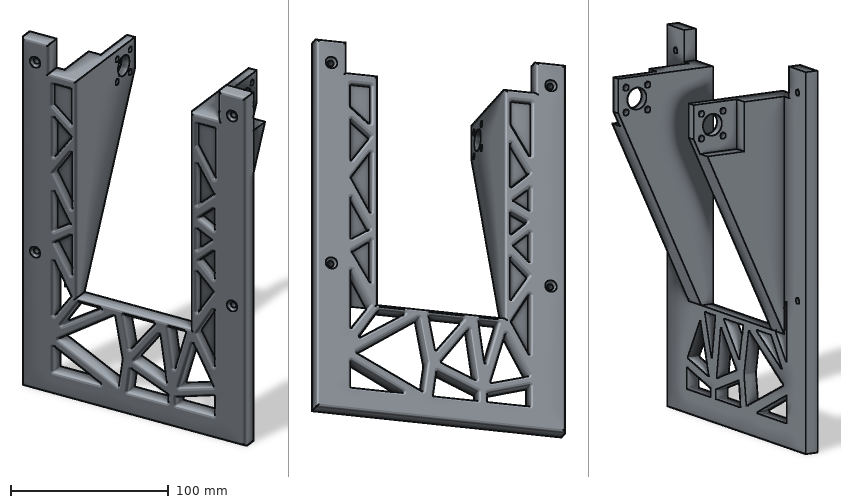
import cadquery as cq
frame_width = 165.5
frame_height = 248.0
total_depth = 72.0
plate_thickness = 10.0
edge_radius = 2.0

window_half_width = frame_width / 2 - 40.7
window_floor = 73.2
tower_width = 20.0
step_drop = 20.5
step_height = frame_height - step_drop

bracket_thickness = 15.0
bracket_back_height = 22.3
mount_recess_size = 32.2
mount_wall = 6.0
motor_bore_diameter = 14.1
motor_axis_inset = 14.0
motor_axis_drop = 14.5
motor_screw_spacing = 16.0
screw_diameter = 4.0

plate_screw_inset = 10.0
plate_screw_drops = (15.1, 150.3)
countersink_diameter = 7.7

pocket_rim_radius = 2.0
shallow_rim_radius = 2.5
wall_corner_radius = 0.5
blind_depth = 6.0
shallow_depth = 2.7

pocket_top = 222.5
rail_top = 71.7
pocket_bottom = 13.6
left_side = -61.8
right_side = 61.3
inner_side = 44.1
shallow_side = 62.2

shallow_pockets = [
    [(-shallow_side, pocket_top), (-inner_side, pocket_top), (-inner_side, 189.2), (-shallow_side, 204.0)],
    [(shallow_side, pocket_top), (inner_side, pocket_top), (inner_side, 203.9), (shallow_side, 174.5)],
]

blind_pockets = [
    [(left_side, 201.5), (-43.6, 186.5), (left_side, 161.7)],
    [(-inner_side, 182.5), (-62.0, 157.2), (-inner_side, 126.2)],
    [(left_side, 152.5), (-44.5, 123.0), (left_side, 111.8)],
    [(-inner_side, 120.5), (-61.8, 108.1), (-inner_side, 79.5)],
    [(inner_side, 199.6), (61.5, 172.5), (inner_side, 157.0)],
    [(right_side, 167.6), (44.1, 152.8), (right_side, 144.0)],
    [(inner_side, 148.5), (61.0, 140.5), (inner_side, 125.2)],
    [(right_side, 137.6), (45.0, 123.0), (right_side, 107.6)],
    [(inner_side, 120.0), (61.0, 104.0), (inner_side, 78.0)],
    [(right_side, 99.2), (44.5, 71.2), (right_side, 41.7)],
]

through_pockets = [
    [(left_side, 103.7), (-44.5, 72.5), (left_side, 48.5)],
    [(-42.2, rail_top), (-62.2, 42.0), (-16.0, rail_top)],
    [(-60.3, 39.5), (-13.1, 71.0), (-7.0, 38.0), (-10.2, 15.0)],
    [(left_side, 37.2), (-15.0, pocket_bottom), (left_side, pocket_bottom)],
    [(-10.5, rail_top), (-4.5, 41.5), (19.5, rail_top)],
    [(-3.2, 38.2), (20.0, 68.7), (26.3, 26.0)],
    [(-4.2, 35.7), (26.8, 23.0), (26.8, pocket_bottom), (-7.2, pocket_bottom)],
    [(22.8, rail_top), (28.8, 30.0), (40.7, rail_top)],
    [(30.0, 25.5), (42.7, 68.7), (61.5, 34.7)],
    [(29.0, 22.8), (right_side, 32.5), (right_side, pocket_bottom), (29.0, pocket_bottom)],
]


def make_plate():
    """U-shaped plate with its front outline rounded."""
    half_width = frame_width / 2
    shoulder = half_width - tower_width
    right_outline = [
        (half_width, 0),
        (half_width, frame_height),
        (shoulder, frame_height),
        (shoulder, step_height),
        (window_half_width, step_height),
        (window_half_width, window_floor),
    ]
    left_outline = [(-x, z) for x, z in reversed(right_outline)]
    plate = cq.Workplane("XZ").polyline(right_outline + left_outline).close().extrude(-plate_thickness)
    return plate.faces("<Y").edges().fillet(edge_radius)


def make_right_bracket():
    """Tapered bracket with a recessed motor mount on its outer face."""
    profile = [
        (plate_thickness, window_floor),
        (plate_thickness, step_height),
        (total_depth, step_height),
        (total_depth, step_height - bracket_back_height),
    ]
    inner_face = cq.Workplane("YZ", origin=(window_half_width, 0, 0))
    bracket = inner_face.polyline(profile).close().extrude(bracket_thickness)

    recess = cq.Workplane("XY").box(
        bracket_thickness, mount_recess_size, mount_recess_size, centered=False
    ).translate((
        window_half_width + mount_wall,
        total_depth - mount_recess_size,
        step_height - mount_recess_size,
    ))

    motor_axis = inner_face.center(total_depth - motor_axis_inset, step_height - motor_axis_drop)
    bore = motor_axis.circle(motor_bore_diameter / 2).extrude(bracket_thickness)
    screws = (
        motor_axis.rect(motor_screw_spacing, motor_screw_spacing, forConstruction=True)
        .vertices()
        .circle(screw_diameter / 2)
        .extrude(bracket_thickness)
    )
    return bracket.cut(recess).cut(bore).cut(screws)


def make_pocket(corners, depth, rim_radius):
    """Cutter for a pocket with rounded corners and a rounded front rim."""
    outline = cq.Workplane("XZ").polyline(corners).close()
    shaft = outline.offset2D(-rim_radius - wall_corner_radius).offset2D(wall_corner_radius).extrude(-depth)
    block = cq.Workplane("XZ").polyline(corners).close().offset2D(rim_radius).extrude(-depth)
    collar = block.cut(shaft)
    rim = collar.faces("<Y").wires(cq.selectors.AreaNthSelector(0)).edges()
    return block.cut(rim.fillet(rim_radius))


def make_plate_screw(x, z):
    """Cutter for a countersunk hole through the plate."""
    center = cq.Workplane("XZ").center(x, z)
    hole = center.circle(screw_diameter / 2).extrude(-plate_thickness)
    sink = cq.Solid.makeCone(
        countersink_diameter / 2,
        screw_diameter / 2,
        (countersink_diameter - screw_diameter) / 2,
        pnt=cq.Vector(x, 0, z),
        dir=cq.Vector(0, 1, 0),
    )
    return hole.union(cq.Workplane(sink))


right_bracket = make_right_bracket()
result = make_plate().union(right_bracket).union(right_bracket.mirror("YZ"))

for corners in shallow_pockets:
    result = result.cut(make_pocket(corners, shallow_depth, shallow_rim_radius))
for corners in blind_pockets:
    result = result.cut(make_pocket(corners, blind_depth, pocket_rim_radius))
for corners in through_pockets:
    result = result.cut(make_pocket(corners, plate_thickness, pocket_rim_radius))

plate_screw_x = frame_width / 2 - plate_screw_inset
for drop in plate_screw_drops:
    for x in (-plate_screw_x, plate_screw_x):
        result = result.cut(make_plate_screw(x, frame_height - drop))